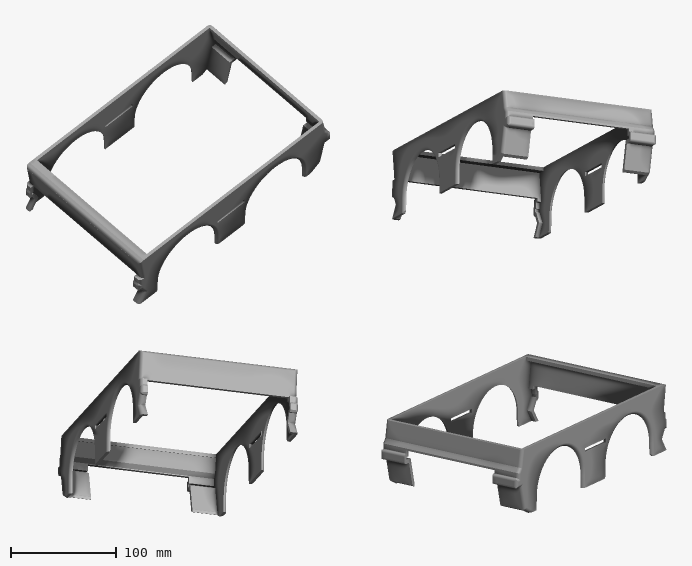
import cadquery as cq
WIDTH = 157.0
LENGTH = 250.7
HEIGHT = 66.5
HALF_WIDTH = WIDTH / 2

SIDE_WALL = 3.3
END_WALL = 3.5
EDGE_RADIUS = 3.3
MARGIN = 12.5

FRONT_FACE_Y = 1.5
SKIRT_EDGE = (5.0, 37.0)
NOSE_CORNER = (1.0, HEIGHT)
NOSE_FACE_END = (1.5, 63.0)
NOSE_ROUND_MIDDLE = (2.3, 64.7)
NOSE_ROUND_END = (3.8, 65.7)
NOSE_TOP_Y = 6.5
FOOT_NOTCH = (7.8, 12.5)
FRONT_CATCH_ROOT_Y = 3.3
FRONT_CATCH_BOTTOM_Z = 20.8
FRONT_CATCH_TOP_Z = 31.0
FRONT_CATCH_BEVEL_HEIGHT = 2.0
LEFT_POST_WIDTH = 7.0
RIGHT_POST_WIDTH = 8.3

REAR_TOP_Y = 241.1
REAR_SLOPE_END = (244.2, 49.5)
REAR_STEP = (247.5, 44.9)
REAR_CATCH_TOP_Z = 39.9
REAR_CATCH_BOTTOM_Z = 29.5
REAR_CATCH_RADIUS = 2.5
REAR_BEAM_BOTTOM_Z = 42.9
FLAP_TOP_Y = 243.1
FLAP_KNEE = (237.5, 5.3)
REAR_FOOT_Y = 228.5
FLAP_WIDTH = 28.0
FLAP_BOTTOM_Z = 3.5

OPENING_FRONT_Y = 13.5
OPENING_REAR_Y = REAR_TOP_Y - END_WALL

ARCH_RADIUS = 37.3
ARCH_CENTER_Z = 13.8
ARCH_FOOT_HALF_WIDTH = 37.9
FRONT_ARCH_Y = 64.0
REAR_ARCH_Y = 177.7
ARCH_CORNER_BEVEL = (2.3, 3.0)
SLOT_FRONT_Y = 102.5
SLOT_LENGTH = 35.0
SLOT_BOTTOM_Z = 35.3
SLOT_HEIGHT = 4.3


def block(x_range, y_range, z_range):
    """Axis-aligned block between the given limits."""
    sizes = [high - low for low, high in (x_range, y_range, z_range)]
    corner = (x_range[0], y_range[0], z_range[0])
    return cq.Workplane("XY").box(*sizes, centered=False).translate(corner)


def side_outline(toe_drop=0):
    """Closed side profile; toe_drop lengthens the front toe along its slope."""
    toe_y = -toe_drop * FOOT_NOTCH[0] / FOOT_NOTCH[1]
    points = [
        (toe_y, -toe_drop),
        FOOT_NOTCH,
        (FRONT_CATCH_ROOT_Y, FRONT_CATCH_BOTTOM_Z),
        (0, FRONT_CATCH_BOTTOM_Z),
        (0, FRONT_CATCH_TOP_Z),
        (FRONT_FACE_Y, FRONT_CATCH_TOP_Z),
        (FRONT_FACE_Y, SKIRT_EDGE[1]),
        SKIRT_EDGE,
        NOSE_CORNER,
        (REAR_TOP_Y, HEIGHT),
        REAR_SLOPE_END,
        REAR_STEP,
        (REAR_STEP[0], REAR_CATCH_TOP_Z),
        (LENGTH, REAR_CATCH_TOP_Z),
        (LENGTH, REAR_CATCH_BOTTOM_Z),
        (FLAP_TOP_Y, REAR_CATCH_BOTTOM_Z),
        FLAP_KNEE,
        (REAR_FOOT_Y, -toe_drop),
    ]
    return cq.Workplane("YZ").polyline(points).close()


def round_side_edges(body):
    """Round both side outlines, leaving top, bottom and skirt step edges sharp."""
    sharp_levels = (0, HEIGHT, SKIRT_EDGE[1])

    def is_rounded(edge):
        bounds = edge.BoundingBox()
        level = bounds.zmax - bounds.zmin < 0.03
        return not (level and any(abs(bounds.zmax - z) < 0.03 for z in sharp_levels))

    edges = body.faces("<X or >X").edges().vals()
    return body.newObject([edge for edge in edges if is_rounded(edge)]).fillet(EDGE_RADIUS)


def nose_trim():
    """Material outside the rounded upper front edge."""
    return (
        cq.Workplane("YZ")
        .moveTo(*NOSE_FACE_END)
        .threePointArc(NOSE_ROUND_MIDDLE, NOSE_ROUND_END)
        .lineTo(NOSE_TOP_Y, HEIGHT)
        .lineTo(NOSE_TOP_Y, HEIGHT + MARGIN)
        .lineTo(-MARGIN, HEIGHT + MARGIN)
        .lineTo(-MARGIN, NOSE_FACE_END[1])
        .close()
        .extrude(WIDTH, both=True)
    )


def corner_bevel(y, z, y_bevel, z_bevel):
    """Wedge across the part at corner (y, z); signed sizes point into the material."""
    corner = [(y, z), (y + y_bevel, z), (y, z + z_bevel)]
    return cq.Workplane("YZ").polyline(corner).close().extrude(WIDTH, both=True)


def front_catch_bevels():
    """Sloped top and bottom of the front catch, over its full projection."""
    top = corner_bevel(0, FRONT_CATCH_TOP_Z, FRONT_FACE_Y, -FRONT_CATCH_BEVEL_HEIGHT)
    bottom = corner_bevel(0, FRONT_CATCH_BOTTOM_Z, FRONT_FACE_Y, FRONT_CATCH_BEVEL_HEIGHT)
    return top.union(bottom)


def rear_catch_rounding():
    """Material outside the rounded nose of the rear catch."""
    catch_z = (REAR_CATCH_BOTTOM_Z, REAR_CATCH_TOP_Z)
    tip = block((-WIDTH, WIDTH), (FLAP_TOP_Y, LENGTH), catch_z)
    return tip.cut(tip.edges("|X and >Y").fillet(REAR_CATCH_RADIUS))


def wheel_arch(center_y):
    """Round-topped opening through both side walls."""
    return (
        cq.Workplane("YZ")
        .moveTo(center_y - ARCH_FOOT_HALF_WIDTH, 0)
        .lineTo(center_y - ARCH_RADIUS, ARCH_CENTER_Z)
        .threePointArc(
            (center_y, ARCH_CENTER_Z + ARCH_RADIUS),
            (center_y + ARCH_RADIUS, ARCH_CENTER_Z),
        )
        .lineTo(center_y + ARCH_FOOT_HALF_WIDTH, 0)
        .close()
        .extrude(WIDTH, both=True)
    )


def cavity():
    """Inside of the shell, with the opening through the top."""
    inner_half = HALF_WIDTH - SIDE_WALL
    inner_x = (-inner_half, inner_half)
    inside = side_outline(toe_drop=MARGIN).offset2D(-END_WALL, "intersection").extrude(inner_half, both=True)
    flap_inner_y = FLAP_KNEE[0] - END_WALL
    floor = block(inner_x, (OPENING_FRONT_Y, flap_inner_y), (-MARGIN, HEIGHT / 2))
    top = block(inner_x, (OPENING_FRONT_Y, OPENING_REAR_Y), (HEIGHT / 2, HEIGHT + MARGIN))
    return inside.union(floor).union(top)


body = side_outline().extrude(HALF_WIDTH, both=True)
for arch_y in (FRONT_ARCH_Y, REAR_ARCH_Y):
    body = body.cut(wheel_arch(arch_y))

body = round_side_edges(body)
body = body.cut(nose_trim())
body = body.cut(front_catch_bevels())
body = body.cut(rear_catch_rounding())
arch_bevel_y, arch_bevel_z = ARCH_CORNER_BEVEL
body = body.cut(corner_bevel(FRONT_ARCH_Y - ARCH_RADIUS, 0, -arch_bevel_y, arch_bevel_z))

body = body.cut(cavity())

front_gap_x = (LEFT_POST_WIDTH - HALF_WIDTH, HALF_WIDTH - RIGHT_POST_WIDTH)
body = body.cut(block(front_gap_x, (-MARGIN, OPENING_FRONT_Y), (-MARGIN, SKIRT_EDGE[1])))

flap_gap = HALF_WIDTH - FLAP_WIDTH
inner_half = HALF_WIDTH - SIDE_WALL
rear_y = (REAR_ARCH_Y, LENGTH + MARGIN)
body = body.cut(block((-flap_gap, flap_gap), rear_y, (-MARGIN, REAR_BEAM_BOTTOM_Z)))
body = body.cut(block((-inner_half, inner_half), rear_y, (-MARGIN, FLAP_BOTTOM_Z)))

slot_y = (SLOT_FRONT_Y, SLOT_FRONT_Y + SLOT_LENGTH)
slot_z = (SLOT_BOTTOM_Z, SLOT_BOTTOM_Z + SLOT_HEIGHT)
result = body.cut(block((-WIDTH, WIDTH), slot_y, slot_z))